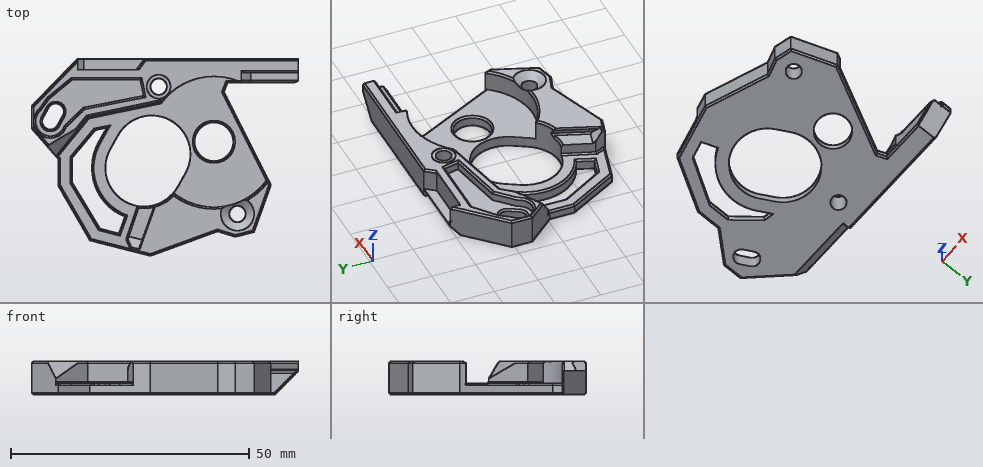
import cadquery as cq
import math

HEIGHT = 7.05
FLOOR = 2.4
LEDGE = 5.0
EDGE = 0.4
FOOT = 0.35
OVER = 1.0
NEAR = 0.1
DIAGONAL = 45

ARM_END = 56.0
ARM_TOP = 41.37
ARM_BOTTOM = 36.38
REAR_CORNER = (9.64, ARM_TOP)
LEFT_HIGH = (0.0, 31.46)
LEFT_LOW = (0.0, 26.77)
RING_LEFT = 5.62
RING_LOW_LEFT = (12.24, 3.24)
BOTTOM_TIP = (24.95, 0.0)
RIGHT_SIDE = [
    BOTTOM_TIP,
    (39.04, 5.16),
    (42.75, 4.0),
    (46.70, 5.0),
    (50.24, 14.87),
    (40.39, 34.42),
]
OUTLINE = [
    REAR_CORNER,
    LEFT_HIGH,
    LEFT_LOW,
    (RING_LEFT, 20.33),
    (RING_LEFT, 14.70),
    RING_LOW_LEFT,
    *RIGHT_SIDE,
    (41.13, ARM_BOTTOM),
    (ARM_END, ARM_BOTTOM),
    (ARM_END, ARM_TOP),
]

WHEEL = (38.27, 23.97)
WHEEL_RADIUS = 13.73
AXLE_DIAMETER = 8.1
MAIN_UPPER = (25.22, 21.37)
MAIN_LOWER = (23.60, 18.48)
MAIN_RADIUS = 8.1
RING_WIDTH = 2.87

SCREW_DIAMETER = 3.4
BOSS_HOLE = (26.67, 35.54)
BOSS_DIAMETER = 5.0
BOSS_DEPTH = 0.1
SUNK_HOLE = (43.22, 8.80)
SUNK_DIAMETER = 7.0
SUNK_DEPTH = 1.5
SLOT_LOWER = (3.93, 28.25)
SLOT_UPPER = (5.05, 30.30)
SLOT_EDGE = 0.4

WALL_START = (4.45, 20.14)
WALL_BEND = (11.80, 29.15)
WALL_END = (30.00, 32.95)
WALL_INSIDE = (11.60, 36.0)

FACET_START = (3.57, 23.30)
FACET_END = (9.71, 26.94)
FACET_DROP = 1.3
FACET_REACH = 4.0

POCKET_RADIUS = 3.5
POCKET = [
    (0.95, 29.9),
    (3.3, 33.25),
    (8.36, 37.4),
    (23.13, 37.4),
    (23.97, 33.31),
    (11.1, 30.8),
    (6.15, 26.0),
]

RECESS_FLOOR = HEIGHT - LEDGE
RECESS_RAMP = 1.35
RECESS_WALL = 39.1
RECESS_END_INNER = 22.0
RECESS_END_OUTER = 23.7
RELIEF = 2.0

LUG_START = 44.0
LIP_EDGE = 38.5
LIP_UNDERCUT = 0.7
LIP_BEVEL = 0.35
LUG_EDGE = 0.47
LUG_TIP_EDGE = 0.3

STEP_TOP_LEFT = (22.88, 11.4)
STEP_LOW_LEFT = (20.20, 3.5)
STEP_OUTER_LEFT = (21.50, 0.50)
STEP_LOW_RIGHT = (22.45, 1.3)
STEP_TOP_RIGHT = (26.09, 11.4)
BLOCK_INSIDE = (27.5, 17.0)
STEP_LIP_BEVEL = 0.2
CREST_INSET = 0.8

WINDOW = [
    (13.35, 26.4),
    (18.5, 27.45),
    (24.0, 20.0),
    (20.05, 9.5),
    (18.3, 4.7),
    (14.3, 5.75),
    (8.50, 15.45),
    (8.50, 20.6),
]


def prism(points, height, base=0.0):
    """Upright solid over a plan polygon."""
    return cq.Workplane("XY").workplane(offset=base).polyline(points).close().extrude(height)


def cylinder(center, radius, height, base=0.0):
    return cq.Workplane("XY").workplane(offset=base).center(*center).circle(radius).extrude(height)


def hull_of_two(first, second, radius, height, base=0.0, taper=0.0):
    """Long round-ended solid around two plan points."""
    dx = second[0] - first[0]
    dy = second[1] - first[1]
    length = math.hypot(dx, dy) + 2 * radius
    middle = ((first[0] + second[0]) / 2, (first[1] + second[1]) / 2)
    plane = cq.Workplane("XY").workplane(offset=base).center(*middle)
    slot = plane.slot2D(length, 2 * radius, math.degrees(math.atan2(dy, dx)))
    return slot.extrude(height, taper=taper)


def edges_at(body, height, low, high):
    """Edges of the body at one height whose centres lie in a plan rectangle."""
    box = cq.selectors.BoxSelector((*low, height - NEAR), (*high, height + NEAR))
    return body.edges(box)


def foot(points):
    """Sloped fillet strip around a wall polygon, standing on the plate."""
    base = cq.Workplane("XY").workplane(offset=FLOOR).polyline(points).close()
    return base.offset2D(FOOT, "intersection").extrude(FOOT, taper=DIAGONAL)


def make_envelope():
    """Full-height outline with bevelled rims; the end of the arm stays sharp at the top."""
    body = prism(OUTLINE, HEIGHT)
    body = body.faces("<Z").edges().chamfer(EDGE)
    return body.faces(">Z").edges("not >X").chamfer(EDGE)


def make_window_cutter():
    """Window with a flared upper rim, bounded on one side by the ring around the main hole."""
    ring = hull_of_two(MAIN_LOWER, MAIN_UPPER, MAIN_RADIUS + RING_WIDTH, FLOOR)
    ring = ring.faces(">Z").edges().chamfer(EDGE)
    rim = cq.Workplane("XY").workplane(offset=FLOOR).polyline(WINDOW).close()
    rim = rim.offset2D(EDGE, "intersection").extrude(-EDGE, taper=DIAGONAL)
    return prism(WINDOW, FLOOR).union(rim).cut(ring)


def make_plate():
    plate = prism(OUTLINE, FLOOR)
    plate = plate.cut(cylinder(WHEEL, AXLE_DIAMETER / 2, FLOOR))
    plate = plate.faces(">Z").edges().chamfer(EDGE)
    return plate.cut(make_window_cutter())


def cut_facet(block):
    """Slope off the corner where the block wall meets the outline."""
    dx = FACET_END[0] - FACET_START[0]
    dy = FACET_END[1] - FACET_START[1]
    plane = cq.Plane(origin=(*FACET_END, HEIGHT), xDir=(dy, -dx, 0), normal=(-dx, -dy, 0))
    profile = [(0, 0), (FACET_REACH, 0), (FACET_REACH, -FACET_REACH * FACET_DROP)]
    cutter = cq.Workplane(plane).workplane(offset=-OVER).polyline(profile).close()
    return block.cut(cutter.extrude(2 * math.hypot(dx, dy)))


def make_arm_block():
    corners = [WALL_START, WALL_BEND, WALL_END, WHEEL]
    corners += [(WHEEL[0] + WHEEL_RADIUS, ARM_BOTTOM)]
    corners += [(ARM_END, ARM_BOTTOM), (ARM_END, ARM_TOP), REAR_CORNER, LEFT_HIGH, LEFT_LOW]
    block = prism(corners, HEIGHT)
    block = edges_at(block, HEIGHT, WALL_START, WALL_END).chamfer(EDGE)
    block = cut_facet(block)
    block = block.union(foot([WALL_START, WALL_BEND, WALL_END, WALL_INSIDE]))
    return block.cut(cylinder(WHEEL, WHEEL_RADIUS, HEIGHT))


def groove_profile(width, lip_bevel):
    """Section of a groove under a lip, with the lip edge at zero and the open side positive."""
    return [
        (-lip_bevel, HEIGHT),
        (0, HEIGHT - EDGE),
        (-LIP_UNDERCUT, LEDGE + LIP_BEVEL),
        (LIP_BEVEL - LIP_UNDERCUT, LEDGE),
        (width, LEDGE),
        (width, HEIGHT),
    ]


def make_step_cutter():
    """Groove along the step, closed at the outer side by a 45 degree ramp."""
    dx = STEP_TOP_RIGHT[0] - STEP_LOW_RIGHT[0]
    dy = STEP_TOP_RIGHT[1] - STEP_LOW_RIGHT[1]
    along = cq.Plane(origin=(*STEP_LOW_RIGHT, 0), xDir=(-dy, dx, 0), normal=(dx, dy, 0))
    length = math.hypot(dx, dy)
    groove = cq.Workplane(along).polyline(groove_profile(length, STEP_LIP_BEVEL)).close()
    groove = groove.extrude(length, both=True)
    dx = BOTTOM_TIP[0] - RING_LOW_LEFT[0]
    dy = BOTTOM_TIP[1] - RING_LOW_LEFT[1]
    side = cq.Plane(origin=(*RING_LOW_LEFT, 0), xDir=(-dy, dx, 0), normal=(dx, dy, 0))
    ramp = [
        (-length, HEIGHT),
        (CREST_INSET, HEIGHT),
        (CREST_INSET + HEIGHT, 0),
        (-length, 0),
    ]
    ramp = cq.Workplane(side).polyline(ramp).close().extrude(2 * length)
    return groove.cut(ramp)


def make_step_block():
    step = [STEP_TOP_LEFT, STEP_LOW_LEFT, STEP_OUTER_LEFT]
    block = prism(step + RIGHT_SIDE + [WHEEL, BLOCK_INSIDE], HEIGHT)
    block = block.cut(cylinder(WHEEL, WHEEL_RADIUS, HEIGHT))
    block = block.cut(hull_of_two(MAIN_LOWER, MAIN_UPPER, MAIN_RADIUS, HEIGHT))
    block = block.faces(">Z").edges("%CIRCLE").chamfer(EDGE)
    block = block.cut(make_step_cutter())
    block = edges_at(block, LEDGE, STEP_LOW_LEFT, STEP_TOP_RIGHT).edges("%CIRCLE").chamfer(EDGE)
    return block.union(foot(step + [STEP_LOW_RIGHT, STEP_TOP_RIGHT]))


def bevel_cutter(start, direction, length, size):
    """Wedge that bevels an edge of the arm's -Y side, running from start along direction."""
    plane = cq.Plane(origin=start, xDir=(0, 1, 0), normal=direction)
    profile = [(size, 0), (-OVER, -size - OVER), (-OVER, 0)]
    return cq.Workplane(plane).polyline(profile).close().extrude(length)


def cut_lug(part):
    """Grooved ledge with a ramp at its start and a 45 degree tip under it."""
    plane = cq.Plane(origin=(LUG_START, LIP_EDGE, 0), xDir=(0, -1, 0), normal=(-1, 0, 0))
    groove = cq.Workplane(plane).polyline(groove_profile(ARM_TOP - ARM_BOTTOM, EDGE)).close()
    groove = groove.extrude(LUG_START - ARM_END)
    ramp = [(LUG_START, HEIGHT), (LUG_START, 0), (LUG_START + HEIGHT, 0)]
    ramp = cq.Workplane("XZ").polyline(ramp).close().extrude(-ARM_TOP)
    part = part.cut(groove.cut(ramp))
    tip = [(ARM_END - LEDGE, 0), (ARM_END, LEDGE), (ARM_END, 0)]
    part = part.cut(cq.Workplane("XZ").polyline(tip).close().extrude(-ARM_TOP))
    ledge_edge = (LUG_START + HEIGHT - LEDGE, ARM_BOTTOM, LEDGE)
    ramp_top = (LUG_START, ARM_BOTTOM, HEIGHT)
    tip_end = (ARM_END, ARM_BOTTOM, LEDGE)
    part = part.cut(bevel_cutter(ledge_edge, (1, 0, 0), ARM_END - LUG_START, LUG_EDGE))
    part = part.cut(bevel_cutter(ramp_top, (1, 0, -1), math.sqrt(2) * (HEIGHT - LEDGE), LUG_EDGE))
    return part.cut(bevel_cutter(tip_end, (-1, 0, -1), math.sqrt(2) * LEDGE, LUG_TIP_EDGE))


def cut_pocket(part):
    depth = HEIGHT - LEDGE
    area = prism(POCKET + [SLOT_LOWER], depth, LEDGE)
    area = area.union(cylinder(SLOT_LOWER, POCKET_RADIUS, depth, LEDGE))
    rim = area.faces(">Z").wires().toPending().extrude(-EDGE, taper=DIAGONAL, combine=False)
    wall = area.faces(">Z").wires().toPending().offset2D(-EDGE).extrude(-depth, combine=False)
    part = part.cut(rim).cut(wall)
    part = part.cut(hull_of_two(SLOT_LOWER, SLOT_UPPER, SCREW_DIAMETER / 2, HEIGHT))
    slot_rim = SCREW_DIAMETER / 2 + SLOT_EDGE
    return part.cut(hull_of_two(SLOT_LOWER, SLOT_UPPER, slot_rim, -SLOT_EDGE, LEDGE, DIAGONAL))


def cut_recess(part):
    """Open pocket in the +Y side, with a bevel along the bottom edge below it."""
    start = REAR_CORNER[0]
    plan = [
        (start, RECESS_WALL),
        (RECESS_END_INNER, RECESS_WALL),
        (RECESS_END_OUTER, ARM_TOP),
        (start, ARM_TOP),
    ]
    cutter = prism(plan, HEIGHT - RECESS_FLOOR, RECESS_FLOOR)
    ramp = [
        (start, RECESS_FLOOR + RECESS_RAMP),
        (start, RECESS_FLOOR),
        (start + RECESS_RAMP, RECESS_FLOOR),
    ]
    cutter = cutter.cut(cq.Workplane("XZ").polyline(ramp).close().extrude(-ARM_TOP))
    part = part.cut(cutter)
    end_low = (RECESS_END_INNER, RECESS_WALL + EDGE)
    end_high = (RECESS_END_OUTER, ARM_TOP - EDGE - NEAR)
    part = edges_at(part, HEIGHT, end_low, end_high).chamfer(EDGE)
    bevel = [(ARM_TOP, RELIEF), (ARM_TOP - RELIEF, 0), (ARM_TOP, 0)]
    bevel = cq.Workplane("YZ").polyline(bevel).close().extrude(RECESS_END_OUTER)
    return part.cut(bevel)


def cut_holes(part):
    part = part.cut(hull_of_two(MAIN_LOWER, MAIN_UPPER, MAIN_RADIUS, HEIGHT))
    for center in (BOSS_HOLE, SUNK_HOLE):
        part = part.cut(cylinder(center, SCREW_DIAMETER / 2, HEIGHT))
    part = part.cut(cylinder(BOSS_HOLE, BOSS_DIAMETER / 2, BOSS_DEPTH, HEIGHT - BOSS_DEPTH))
    sink = cq.Solid.makeCone(
        SUNK_DIAMETER / 2,
        SCREW_DIAMETER / 2,
        SUNK_DEPTH,
        pnt=cq.Vector(*SUNK_HOLE, HEIGHT),
        dir=cq.Vector(0, 0, -1),
    )
    return part.cut(cq.Workplane(sink))


part = make_plate().union(make_arm_block()).union(make_step_block())
part = part.intersect(make_envelope())
part = cut_pocket(part)
part = cut_lug(part)
part = cut_recess(part)
result = cut_holes(part)